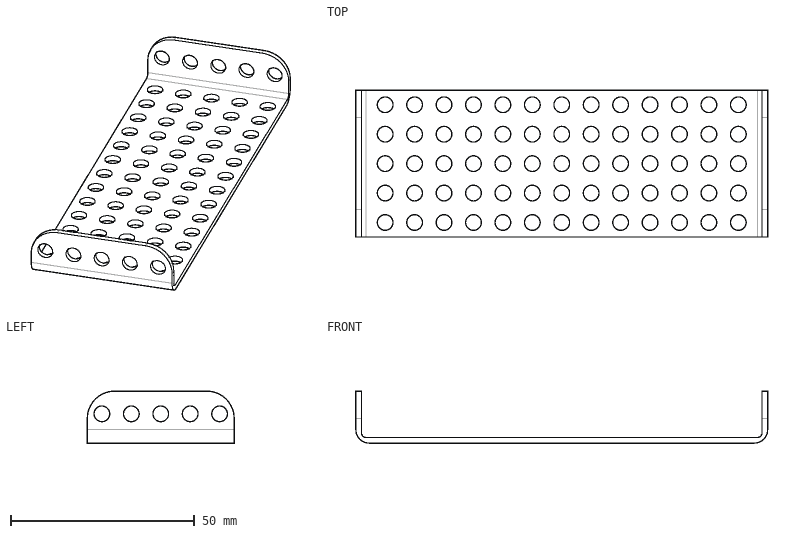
import cadquery as cq

length = 112.0
width = 40.0
height = 14.2
thickness = 1.6

bend_outer_radius = 3.7
bend_inner_radius = 1.2

flange_corner_radius = 7.5

hole_diameter = 4.2
hole_pitch = 8.0
holes_along_length = 13
holes_along_width = 5
flange_hole_height = 8.0


def bent_channel():
    """U-shaped plate: a flat base with an upright flange at each end."""
    cavity_length = length - 2 * thickness
    outer = (
        cq.Workplane("XY")
        .box(length, width, height, centered=(True, True, False))
        .edges("|Y and <Z")
        .fillet(bend_outer_radius)
    )
    cavity = (
        cq.Workplane("XY")
        .workplane(offset=thickness)
        .box(cavity_length, width, height, centered=(True, True, False))
        .edges("|Y and <Z")
        .fillet(bend_inner_radius)
    )
    return outer.cut(cavity)


def round_flange_corners(body):
    """Round the two free upper corners of both flanges."""
    return body.faces(">Z").edges("|X").fillet(flange_corner_radius)


def base_holes():
    """Cutters for the grid of holes through the base."""
    return (
        cq.Workplane("XY")
        .rarray(hole_pitch, hole_pitch, holes_along_length, holes_along_width)
        .circle(hole_diameter / 2)
        .extrude(thickness)
    )


def flange_holes():
    """Cutters for the row of holes running through both flanges."""
    return (
        cq.Workplane("YZ")
        .center(0, flange_hole_height)
        .rarray(hole_pitch, hole_pitch, holes_along_width, 1)
        .circle(hole_diameter / 2)
        .extrude(length / 2, both=True)
    )


result = round_flange_corners(bent_channel()).cut(base_holes()).cut(flange_holes())